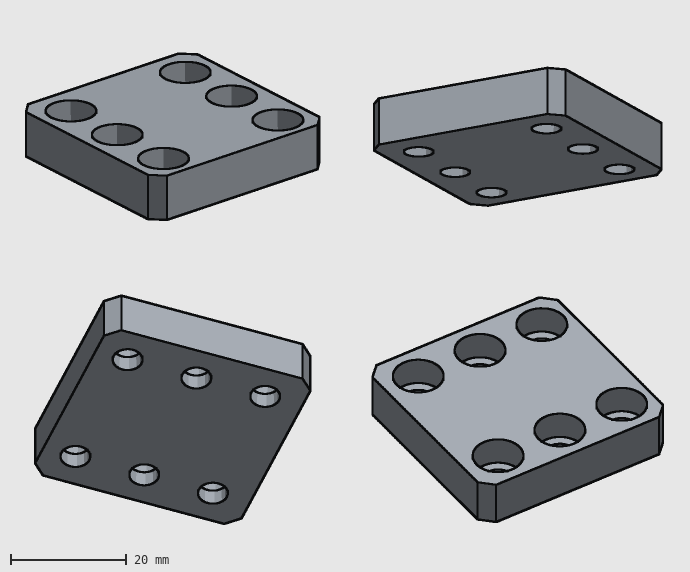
import cadquery as cq

side = 38.1
thickness = 8.42
corner_chamfer = 2.32

hole_pitch = 12.7
row_spacing = 2 * hole_pitch
pattern_shift_x = 0.45
hole_diameter = 5.15
counterbore_diameter = 8.75
counterbore_depth = 5.25

plate = (
    cq.Workplane("XY")
    .box(side, side, thickness, centered=(True, True, False))
    .edges("|Z")
    .chamfer(corner_chamfer)
)

hole_centers = [
    (pattern_shift_x + column * hole_pitch, row * row_spacing / 2)
    for column in (-1, 0, 1)
    for row in (-1, 1)
]

result = (
    plate.faces(">Z")
    .workplane(origin=(0, 0, thickness))
    .pushPoints(hole_centers)
    .cboreHole(hole_diameter, counterbore_diameter, counterbore_depth)
)